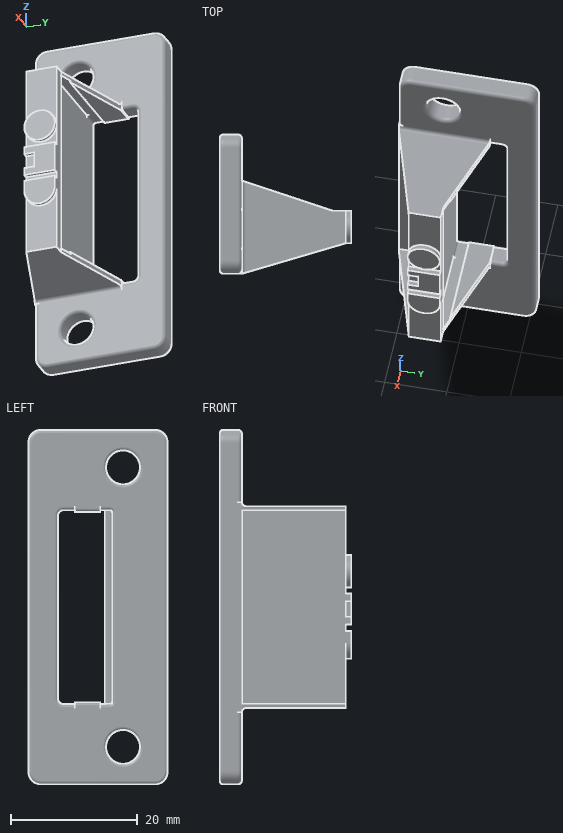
import cadquery as cq

plate_length = 55.95
plate_width = 22.0
plate_thickness = 3.5
plate_corner_radius = 2.0
front_edge_radius = 0.55
back_edge_radius = 0.65

hole_diameter = 5.3
hole_y = 7.05
hole_z = 22.05

slot_half_height = 15.25
slot_low_y = 8.8
slot_high_y = 17.3
slot_high_corner_radius = 0.85
slot_low_corner_radius = 0.35

cheek_thickness = 0.65
cheek_half_height = slot_half_height + cheek_thickness
housing_end_x = 19.9
taper_end_x = 17.85
housing_base_y = 14.7
tip_low_y = 4.8
tip_high_y = 9.95
lip_root_radius = 0.85
root_fillet_radius = 0.6

guide_low_y = 10.6
guide_high_y = 14.65
guide_height = 0.3

mark_height = 0.85
mark_width = tip_high_y - tip_low_y
mark_y = (tip_low_y + tip_high_y) / 2
disc_z = 5.65
legged_top_z = 2.2
legged_bottom_z = -2.75
leg_width = 1.25
leg_gap_depth = 1.7
half_round_top_z = -3.75
half_round_flat_length = 2.0
half_round_length = 4.4


def box(x0, x1, y0, y1, z0, z1):
    """Box given by its limits along each axis."""
    return cq.Workplane("XY").box(x1 - x0, y1 - y0, z1 - z0, centered=False).translate((x0, y0, z0))


def housing_prism(half_height):
    """Tapered outline of the housing, starting inside the plate, extruded symmetrically in Z."""
    start_x = plate_thickness - back_edge_radius
    return (
        cq.Workplane("XY")
        .moveTo(start_x, 0)
        .lineTo(plate_thickness, 0)
        .lineTo(housing_end_x, tip_low_y)
        .lineTo(housing_end_x, tip_high_y)
        .lineTo(taper_end_x, tip_high_y)
        .lineTo(plate_thickness, housing_base_y)
        .lineTo(start_x, housing_base_y)
        .close()
        .extrude(half_height, both=True)
    )


def make_slot():
    """Rounded slot through the plate, tighter in the two corners on the -Y side."""
    slot = box(0, plate_thickness, slot_low_y, slot_high_y, -slot_half_height, slot_half_height)
    slot = slot.edges("|X and >Y").fillet(slot_high_corner_radius)
    return slot.edges("|X and <Y").fillet(slot_low_corner_radius)


def make_plate():
    """Plate with its slot and screw holes; every edge of the front and back faces is rounded."""
    plate = box(0, plate_thickness, 0, plate_width, -plate_length / 2, plate_length / 2)
    plate = plate.edges("|X").fillet(plate_corner_radius)
    holes = (
        cq.Workplane("YZ")
        .pushPoints([(hole_y, hole_z), (hole_y, -hole_z)])
        .circle(hole_diameter / 2)
        .extrude(plate_thickness)
    )
    plate = plate.cut(make_slot()).cut(holes)
    plate = plate.faces("<X").edges().fillet(front_edge_radius)
    return plate.faces(">X").edges().fillet(back_edge_radius)


def make_root_fillet(side):
    """Concave fillet between one cheek and the back of the plate; side is +1 or -1 along Z."""
    inner_x = plate_thickness - back_edge_radius
    outer_x = plate_thickness + root_fillet_radius
    low_z = side * slot_half_height
    top_z = side * (cheek_half_height + root_fillet_radius)
    strip = box(inner_x, outer_x, 0, housing_base_y, min(low_z, top_z), max(low_z, top_z))
    round_cut = (
        cq.Workplane("XZ", origin=(outer_x, 0, top_z))
        .circle(root_fillet_radius)
        .extrude(-housing_base_y)
    )
    outline = housing_prism(abs(top_z))
    return strip.cut(round_cut).intersect(outline)


def make_housing():
    """Tapered body and its root fillets, with the recess on the -Y side of the wall removed."""
    housing = housing_prism(cheek_half_height)
    recess = box(
        plate_thickness, housing_end_x, 0, tip_low_y, -slot_half_height, slot_half_height
    )
    housing = housing.cut(recess)
    for side in (1, -1):
        housing = housing.union(make_root_fillet(side).cut(recess))
    return housing


def make_opening():
    """Space between the cheeks, in line with the slot and closed by the lip at the tip."""
    inside = box(
        plate_thickness, taper_end_x, slot_low_y, plate_width, -slot_half_height, slot_half_height
    )
    inside = inside.edges("|Z and >X and <Y").fillet(lip_root_radius)
    return inside.union(make_slot())


def make_guide(side):
    """Guide pad along one cheek, running through the slot with a rounded front edge."""
    inner_z = slot_half_height - guide_height
    pad = box(0, taper_end_x, guide_low_y, guide_high_y, inner_z, cheek_half_height)
    pad = pad.edges("<X and <Z").fillet(front_edge_radius)
    limits = housing_prism(cheek_half_height).union(
        box(0, plate_thickness, 0, plate_width, -cheek_half_height, cheek_half_height)
    )
    pad = pad.intersect(limits)
    return pad if side > 0 else pad.mirror("XY")


def make_marks():
    """Disc, two-legged block and half-rounded block in a row along Z, as wide as the tip."""
    start_x = housing_end_x
    end_x = start_x + mark_height
    face = cq.Workplane("YZ", origin=(start_x, 0, 0))

    disc = face.center(mark_y, disc_z).circle(mark_width / 2).extrude(mark_height)

    legged = box(start_x, end_x, tip_low_y, tip_high_y, legged_bottom_z, legged_top_z)
    gap = box(
        start_x, end_x, tip_low_y, tip_low_y + leg_gap_depth,
        legged_bottom_z + leg_width, legged_top_z - leg_width,
    )

    flat_end_z = half_round_top_z - half_round_flat_length
    half_round = (
        face.moveTo(tip_low_y, half_round_top_z)
        .lineTo(tip_high_y, half_round_top_z)
        .lineTo(tip_high_y, flat_end_z)
        .threePointArc((mark_y, half_round_top_z - half_round_length), (tip_low_y, flat_end_z))
        .close()
        .extrude(mark_height)
    )
    return [disc, legged.cut(gap), half_round]


body = make_plate().union(make_housing().cut(make_opening()))

for side in (1, -1):
    body = body.union(make_guide(side))
for mark in make_marks():
    body = body.union(mark)

result = body